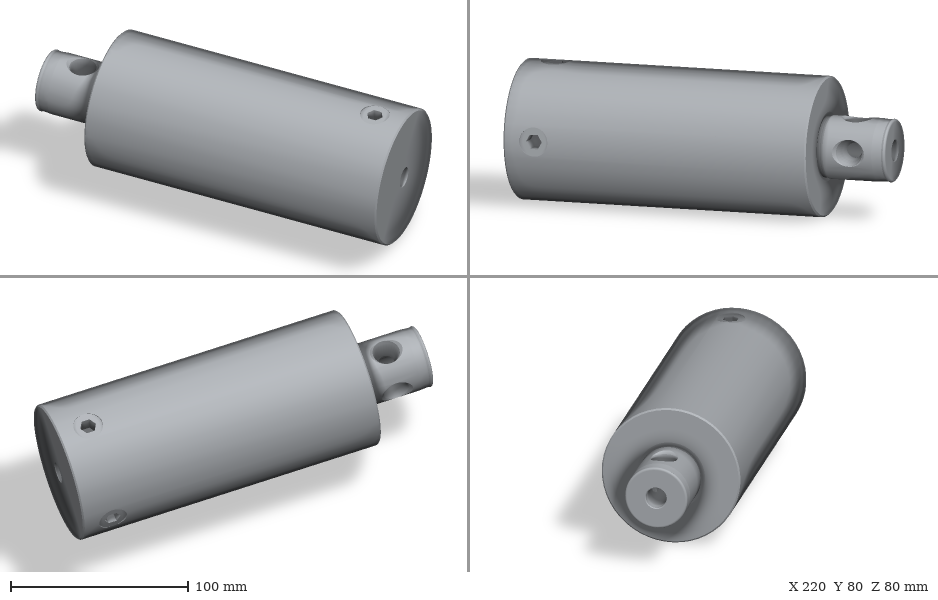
import cadquery as cq
import math

total_length = 220.0
body_diameter = 80.0
body_radius = body_diameter / 2
stem_length = 40.0
stem_radius = 18.0
body_chamfer = 0.9

end_round = 1.3
rim_step_end = 2.5
lead_in_end = 8.1
lead_in_radius = 17.5

undercut_start = 37.2
undercut_slope_end = 39.0
undercut_radius = 17.4
recess_radius = 19.8
recess_depth = 0.7

bore_radius = 6.0
bore_chamfer = 0.5

seat_x = 22.0
seat_mouth_radius = 9.5
seat_radius = 7.7
seat_half_angle = 17.0
cross_hole_radius = 4.5

screw_x = 202.0
screw_radius = 8.4
screw_length = 17.5
hex_across_flats = 8.1
hex_depth = 8.8
screw_top = math.sqrt(body_radius**2 - screw_radius**2)
screw_bottom = screw_top - screw_length

radial_angles = (0, -90)


def turn_about_axis(shape, angle):
    return shape.rotate((0, 0, 0), (1, 0, 0), angle)


def make_turned_blank():
    """Stem and body as one solid of revolution about X."""
    return (
        cq.Workplane("XY")
        .moveTo(0, 0)
        .lineTo(0, stem_radius - end_round)
        .radiusArc((end_round, stem_radius), end_round)
        .lineTo(rim_step_end, lead_in_radius)
        .lineTo(lead_in_end, stem_radius)
        .lineTo(undercut_start, stem_radius)
        .lineTo(undercut_slope_end, undercut_radius)
        .lineTo(stem_length + recess_depth, undercut_radius)
        .lineTo(stem_length, recess_radius)
        .lineTo(stem_length, body_radius - body_chamfer)
        .lineTo(stem_length + body_chamfer, body_radius)
        .lineTo(total_length - body_chamfer, body_radius)
        .lineTo(total_length, body_radius - body_chamfer)
        .lineTo(total_length, 0)
        .close()
        .revolve(360, (0, 0, 0), (1, 0, 0))
    )


def make_bore():
    """Through bore, chamfered at the stem end."""
    return (
        cq.Workplane("XY")
        .moveTo(0, 0)
        .lineTo(0, bore_radius + bore_chamfer)
        .lineTo(bore_chamfer, bore_radius)
        .lineTo(total_length, bore_radius)
        .lineTo(total_length, 0)
        .close()
        .revolve(360, (0, 0, 0), (1, 0, 0))
    )


def make_seat():
    """Mouth, cone and cross hole on +Z; the mouth is continued past the stem's crown."""
    clearance = 2.2
    cone_depth = (seat_radius - cross_hole_radius) / math.tan(math.radians(seat_half_angle))
    cone_top = stem_radius - (seat_mouth_radius - seat_radius)
    return (
        cq.Workplane("XZ")
        .moveTo(0, 0)
        .lineTo(cross_hole_radius, 0)
        .lineTo(cross_hole_radius, cone_top - cone_depth)
        .lineTo(seat_radius, cone_top)
        .lineTo(seat_mouth_radius + clearance, stem_radius + clearance)
        .lineTo(0, stem_radius + clearance)
        .close()
        .revolve(360, (0, 0, 0), (0, 1, 0))
        .translate((seat_x, 0, 0))
    )


def make_screw_hole():
    return (
        cq.Workplane("XY", origin=(screw_x, 0, screw_bottom))
        .circle(screw_radius)
        .extrude(body_radius - screw_bottom)
    )


def make_screw():
    """Flat set screw with a hexagon socket whose corners point along X."""
    hex_across_corners = hex_across_flats / math.cos(math.radians(30))
    socket = (
        cq.Workplane("XY", origin=(screw_x, 0, screw_top - hex_depth))
        .polygon(6, hex_across_corners)
        .extrude(hex_depth)
    )
    return (
        cq.Workplane("XY", origin=(screw_x, 0, screw_bottom))
        .circle(screw_radius)
        .extrude(screw_length)
        .cut(socket)
    )


def make_holder():
    holder = make_turned_blank().cut(make_bore())
    for angle in radial_angles:
        holder = holder.cut(turn_about_axis(make_seat(), angle))
        holder = holder.cut(turn_about_axis(make_screw_hole(), angle))
    return holder


holder = make_holder()
screws = [turn_about_axis(make_screw(), angle) for angle in radial_angles]

result = cq.Compound.makeCompound([holder.val(), *[screw.val() for screw in screws]])